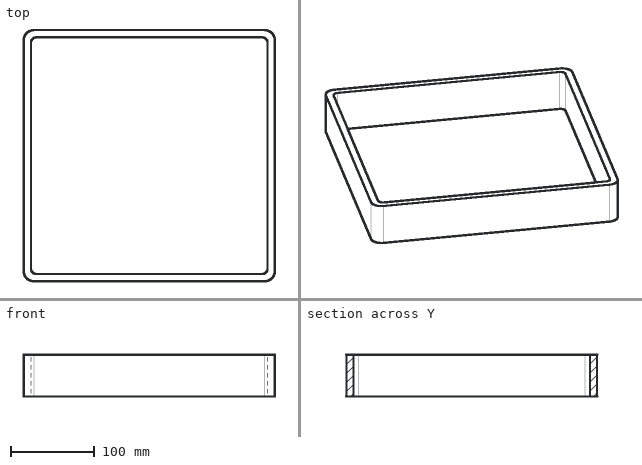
import cadquery as cq

side = 300.0
height = 50.0
wall = 9.0
outer_radius = 12.5
inner_radius = 6.0

inner_side = side - 2 * wall


def rounded_block(width, corner_radius):
    """Square block standing on Z = 0 with rounded vertical edges."""
    block = cq.Workplane("XY").rect(width, width).extrude(height)
    return block.edges("|Z").fillet(corner_radius)


outer_block = rounded_block(side, outer_radius)
opening = rounded_block(inner_side, inner_radius)

result = outer_block.cut(opening)